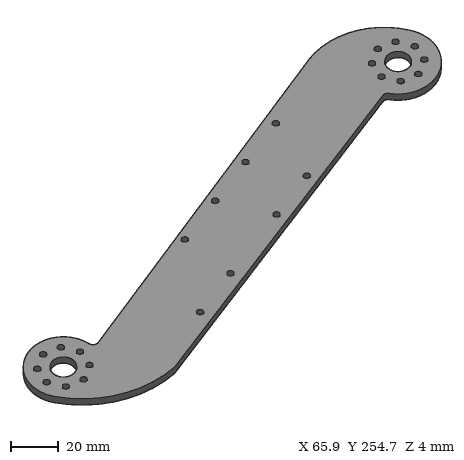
import cadquery as cq
import math

thickness = 4.0
hub_spacing = 219.9
upper_hub_radius = 18.0
lower_hub_radius = 16.8
upper_hub = (0, hub_spacing / 2)
lower_hub = (0, -hub_spacing / 2)

left_edge_top = (-29.5, 87.6)
left_edge_bottom = (3.3, -94.3)
right_edge_top = (6.5, 94.0)
right_edge_bottom = (36.0, -80.5)

upper_bend_middle = (-22.5, 115.0)
upper_bend_angle = 115.0
lower_bend_middle = (26.5, -108.8)
lower_bend_angle = -64.0
inner_corner_radius = 2.5

bore_diameter = 11.2
screw_diameter = 3.0
bolt_circle_radius = 11.0
bolts_per_hub = 8
arm_hole_angle = -81.0
left_row_start = (-17.5, 51.0)
left_row_offsets = (0, 25.0, 50.0, 75.0)
right_row_start = (11.0, 36.7)
right_row_offsets = (0, 25.0, 63.0, 88.0)


def point_along(start, distance, angle):
    """Point at a distance from start, at an angle in degrees from +X."""
    turn = math.radians(angle)
    return (start[0] + distance * math.cos(turn), start[1] + distance * math.sin(turn))


def hub_disc(centre, radius):
    return cq.Workplane("XY").center(*centre).circle(radius).extrude(thickness)


def make_arm():
    """Arm whose ends close through the hub centres, inside the hub discs."""
    return (
        cq.Workplane("XY")
        .moveTo(*left_edge_bottom)
        .lineTo(*left_edge_top)
        .threePointArc(upper_bend_middle, point_along(upper_hub, upper_hub_radius, upper_bend_angle))
        .lineTo(*upper_hub)
        .lineTo(*right_edge_top)
        .lineTo(*right_edge_bottom)
        .threePointArc(lower_bend_middle, point_along(lower_hub, lower_hub_radius, lower_bend_angle))
        .lineTo(*lower_hub)
        .close()
        .extrude(thickness)
    )


def round_inner_corner(body, corner):
    """Round the upright edge nearest to the corner where arm and hub meet."""
    nearest = cq.selectors.NearestToPointSelector((*corner, thickness / 2))
    return body.edges("|Z").edges(nearest).fillet(inner_corner_radius)


def hole_points():
    points = []
    for centre in (upper_hub, lower_hub):
        for index in range(bolts_per_hub):
            points.append(point_along(centre, bolt_circle_radius, index * 360 / bolts_per_hub))
    for start, offsets in (
        (left_row_start, left_row_offsets),
        (right_row_start, right_row_offsets),
    ):
        for offset in offsets:
            points.append(point_along(start, offset, arm_hole_angle))
    return points


plate = make_arm()
plate = plate.union(hub_disc(upper_hub, upper_hub_radius))
plate = plate.union(hub_disc(lower_hub, lower_hub_radius))
plate = round_inner_corner(plate, right_edge_top)
plate = round_inner_corner(plate, left_edge_bottom)

bores = cq.Workplane("XY").pushPoints([upper_hub, lower_hub]).circle(bore_diameter / 2).extrude(thickness)
screw_holes = cq.Workplane("XY").pushPoints(hole_points()).circle(screw_diameter / 2).extrude(thickness)
result = plate.cut(bores).cut(screw_holes)